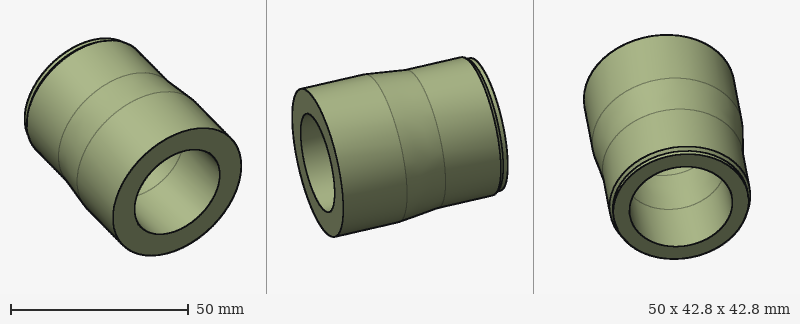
import cadquery as cq

total_length = 50.0
lip_length = 1.4
chamfer_end = 2.4
taper_start = 19.0
taper_end = 31.0
bore_taper_start = 16.5
bore_taper_end = taper_end

lip_radius = 19.2
small_radius = 20.0
large_radius = 21.4

entry_bore_radius = 14.6
far_bore_radius = 14.2

x_min = -total_length / 2

profile = (
    cq.Workplane("XY")
    .moveTo(0, entry_bore_radius)
    .lineTo(0, lip_radius)
    .lineTo(lip_length, lip_radius)
    .lineTo(chamfer_end, small_radius)
    .lineTo(taper_start, small_radius)
    .lineTo(taper_end, large_radius)
    .lineTo(total_length, large_radius)
    .lineTo(total_length, far_bore_radius)
    .lineTo(bore_taper_end, far_bore_radius)
    .lineTo(bore_taper_start, entry_bore_radius)
    .close()
)

result = profile.revolve(360, (0, 0, 0), (1, 0, 0)).translate((x_min, 0, 0))